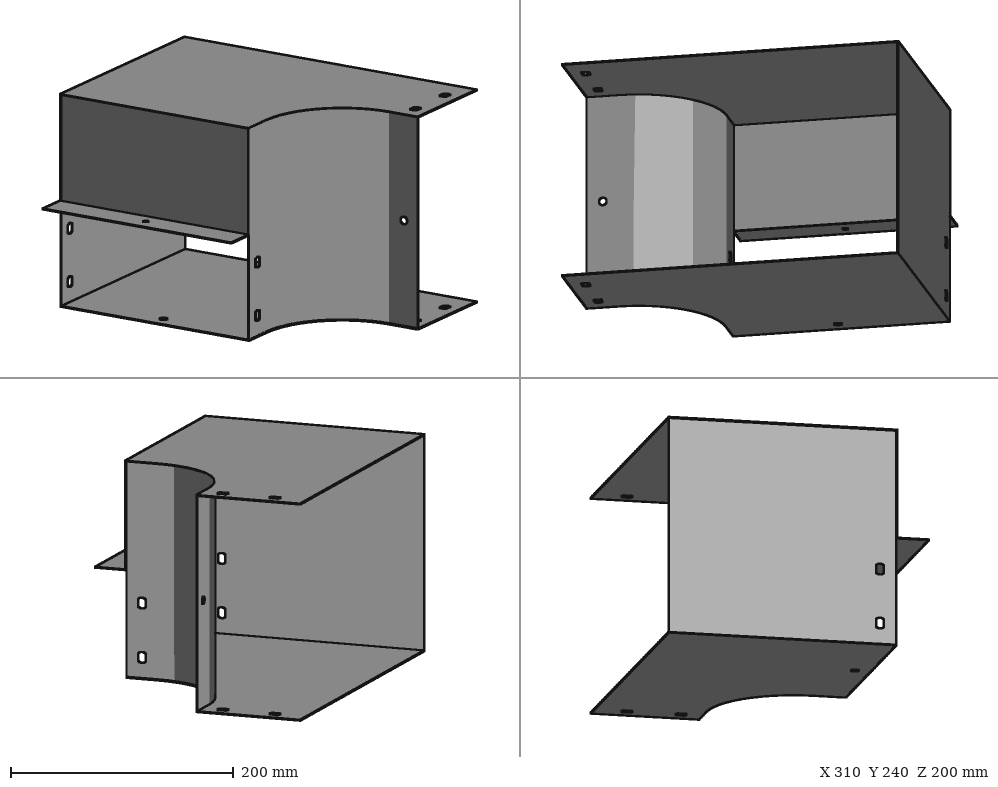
import cadquery as cq

LENGTH_X = 310.0
LENGTH_Y = 240.0
HEIGHT = 200.0
SHEET = 1.0
MOUTH_WIDTH = 200.0
MOUTH_HEIGHT = 100.0
ARM_WIDTH = 100.0
LIP = 30.0

FLANGE_HOLE_DIAMETER = 5.0
SCREW_HOLE_DIAMETER = 7.0
SLOT_WIDTH = 7.0
SLOT_LENGTH = 10.0
SLOT_OFFSETS = (20.0, 70.0)

FRONT_Y = LIP
INNER_CORNER_Y = LENGTH_Y - ARM_WIDTH
BEND_RADIUS = LENGTH_X - LIP - MOUTH_WIDTH
BEND_START_Y = INNER_CORNER_Y - BEND_RADIUS
ARM_HOLE_X = LENGTH_X - LIP / 2
MOUTH_HOLE_Y = FRONT_Y + LIP / 2


def plan_block(inset, overrun, bottom, top):
    """Block with the elbow's plan, inset from the walls and extended past the open ends and back."""
    inner_x = MOUTH_WIDTH - inset
    inner_y = INNER_CORNER_Y + inset
    end_x = LENGTH_X + overrun
    end_y = FRONT_Y - overrun
    back_y = LENGTH_Y + overrun
    return (
        cq.Workplane("XY", origin=(0, 0, bottom))
        .moveTo(inset, end_y)
        .lineTo(inner_x, end_y)
        .lineTo(inner_x, BEND_START_Y)
        .radiusArc((LENGTH_X - LIP, inner_y), BEND_RADIUS + inset)
        .lineTo(end_x, inner_y)
        .lineTo(end_x, back_y)
        .lineTo(inset, back_y)
        .close()
        .extrude(top - bottom)
    )


def make_duct():
    """Hollow elbow, open at the +X end, at the -Y end and along the back."""
    outside = plan_block(0, 0, 0, HEIGHT)
    inside = plan_block(SHEET, SHEET, SHEET, HEIGHT - SHEET)
    return outside.cut(inside)


def make_front_panel():
    """Bent sheet on the front edges that closes the upper part of the -Y end and carries the flange."""
    panel = cq.Workplane("XY").box(
        MOUTH_WIDTH, SHEET, HEIGHT - MOUTH_HEIGHT, centered=False
    ).translate((0, FRONT_Y - SHEET, MOUTH_HEIGHT))
    flange = cq.Workplane("XY").box(
        MOUTH_WIDTH, FRONT_Y, SHEET, centered=False
    ).translate((0, 0, MOUTH_HEIGHT - SHEET))
    hole = (
        cq.Workplane("XY", origin=(MOUTH_WIDTH / 2, LIP / 2, 0))
        .circle(FLANGE_HOLE_DIAMETER / 2)
        .extrude(HEIGHT)
    )
    return panel.union(flange).cut(hole)


def slot_cutters(workplane, centres, depth):
    """Slot cutters: round bars with two flat sides, their length along the workplane's local Y."""
    round_bars = workplane.pushPoints(centres).circle(SLOT_LENGTH / 2).extrude(depth)
    flat_bars = workplane.pushPoints(centres).rect(SLOT_WIDTH, SLOT_LENGTH).extrude(depth)
    return round_bars.intersect(flat_bars)


def arm_slots():
    """Slots through the top and bottom sheets at the +X end."""
    centres = [(ARM_HOLE_X, INNER_CORNER_Y + offset) for offset in SLOT_OFFSETS]
    return slot_cutters(cq.Workplane("XY"), centres, HEIGHT)


def mouth_slots():
    """Slots through both side walls at the mouth."""
    centres = [(MOUTH_HOLE_Y, offset) for offset in SLOT_OFFSETS]
    return slot_cutters(cq.Workplane("YZ"), centres, MOUTH_WIDTH)


def arm_screw_hole():
    """Round hole through the front wall of the arm, at mid height."""
    return (
        cq.Workplane("XZ", origin=(ARM_HOLE_X, INNER_CORNER_Y + SHEET, HEIGHT / 2))
        .circle(SCREW_HOLE_DIAMETER / 2)
        .extrude(SHEET)
    )


def mouth_screw_hole():
    """Round hole through the bottom sheet, centred on the mouth."""
    return (
        cq.Workplane("XY", origin=(MOUTH_WIDTH / 2, MOUTH_HOLE_Y, 0))
        .circle(SCREW_HOLE_DIAMETER / 2)
        .extrude(SHEET)
    )


result = (
    make_duct()
    .union(make_front_panel())
    .cut(arm_slots())
    .cut(mouth_slots())
    .cut(arm_screw_hole())
    .cut(mouth_screw_hole())
)